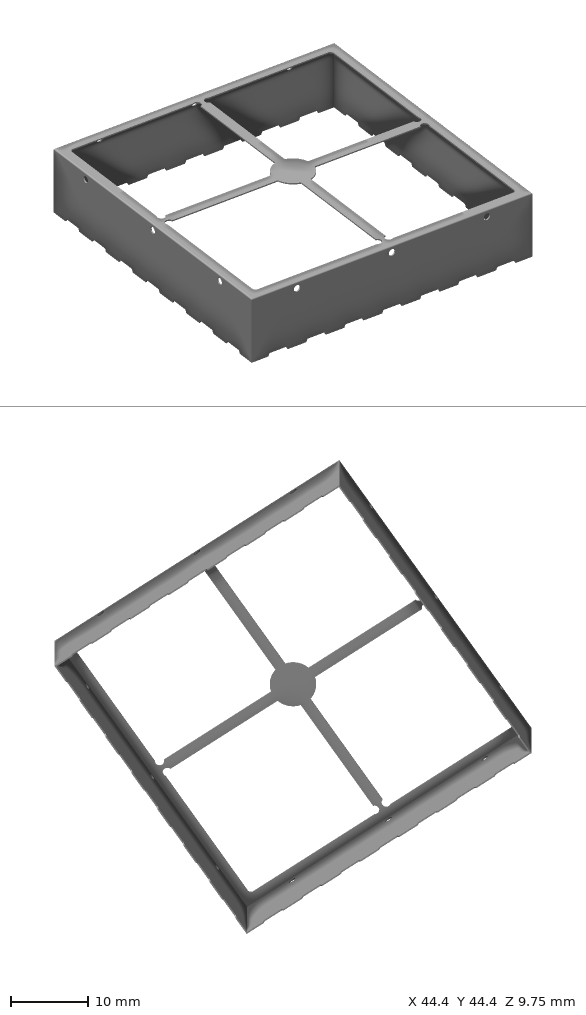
import cadquery as cq

side = 44.37
height = 9.75
sheet = 0.2
cavity_side = side - 2 * sheet
rim_width = 1.5
window_side = side - 2 * rim_width

spoke_width = 1.5
hub_diameter = 6.0
window_corner_radius = 0.5
neck_radius = 0.6
neck_center_from_rim = 0.5
neck_width = 0.6

hole_diameter = 1.0
hole_pitch = 15.0
hole_drop_from_top = 1.0

notch_count = 7
notch_pitch = 6.0
notch_depth = 0.45
notch_mouth = 3.1
notch_roof = 2.7

cutter_half_length = side


def make_shell():
    """Square tray with thin walls, a thin top and rounded top edges."""
    block = cq.Workplane("XY").box(side, side, height, centered=(True, True, False))
    block = block.faces(">Z").edges().fillet(sheet)
    cavity = cq.Workplane("XY").rect(cavity_side, cavity_side).extrude(height - sheet)
    return block.cut(cavity)


def make_window():
    """Rounded square opening in the top, less the hub and the necked spokes."""
    plane = cq.Workplane("XY").workplane(offset=height - sheet)
    window = plane.rect(window_side, window_side).extrude(sheet)
    window = window.edges("|Z").fillet(window_corner_radius)
    window = window.cut(plane.circle(hub_diameter / 2).extrude(sheet))
    window = window.cut(plane.rect(window_side, spoke_width).extrude(sheet))
    window = window.cut(plane.rect(spoke_width, window_side).extrude(sheet))

    along = window_side / 2 - neck_center_from_rim
    across = neck_width / 2 + neck_radius
    centers = []
    for sign_along in (-1, 1):
        for sign_across in (-1, 1):
            centers.append((sign_along * along, sign_across * across))
            centers.append((sign_across * across, sign_along * along))
    return window.union(plane.pushPoints(centers).circle(neck_radius).extrude(sheet))


def cut_both_ways(body, cutter):
    """Remove a cutter that runs along Y, and its copy that runs along X."""
    return body.cut(cutter).cut(cutter.rotate((0, 0, 0), (0, 0, 1), 90))


def make_hole_pins():
    """Row of pins, each running along Y, that pierce two opposite walls."""
    hole_z = height - hole_drop_from_top
    return (
        cq.Workplane("XZ")
        .pushPoints([(x, hole_z) for x in (-hole_pitch, 0, hole_pitch)])
        .circle(hole_diameter / 2)
        .extrude(cutter_half_length, both=True)
    )


def make_notch_bars():
    """Row of trapezoidal bars, each running along Y, that notch the bottom rim."""
    bars = cq.Workplane("XZ")
    first = -notch_pitch * (notch_count - 1) / 2
    for index in range(notch_count):
        x = first + index * notch_pitch
        outline = [
            (x - notch_mouth / 2, 0),
            (x - notch_roof / 2, notch_depth),
            (x + notch_roof / 2, notch_depth),
            (x + notch_mouth / 2, 0),
        ]
        bar = cq.Workplane("XZ").polyline(outline).close().extrude(cutter_half_length, both=True)
        bars = bars.add(bar)
    return bars.combine()


tray = make_shell().cut(make_window())
tray = cut_both_ways(tray, make_hole_pins())
result = cut_both_ways(tray, make_notch_bars())